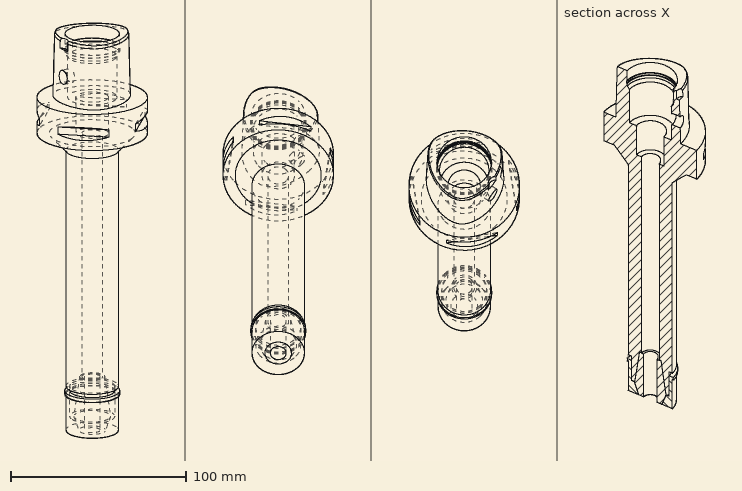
import cadquery as cq
import math

TOTAL_LENGTH = 238.0
FLANGE_TOP = 200.0
FLANGE_BOTTOM = 178.3
CONE_BOTTOM = 168.0
SHAFT_BOTTOM = 26.5
NUT_TOP = 23.8
COLLAR_BOTTOM = 21.7
NOSE_BOTTOM = 8.3
COLLET_TOP = 32.1

FLANGE_DIAMETER = 63.0
FLANGE_RADIUS = FLANGE_DIAMETER / 2
CONE_TOP_RADIUS = 24.5
SHAFT_RADIUS = 15.0
NOSE_RADIUS = 12.9
COLLAR_RADIUS = 15.7

SHANK_BASE_RADIUS = 22.1
SHANK_TAPER = 1 / 40
LOBE_HEIGHT = 1.5
LOBE_POINTS = 36
SHANK_CHAMFER_HEIGHT = 1.7
SHANK_CHAMFER_WIDTH = 0.6

MOUTH_RADIUS = 15.5
GROOVE_RADIUS = 16.0
BORE_RADIUS = 14.0
THREAD_RADIUS = 9.3
COOLANT_RADIUS = 6.0
GROOVE_TOP = TOTAL_LENGTH - 7.9
GROOVE_BOTTOM = TOTAL_LENGTH - 9.5
SEAT_TOP = TOTAL_LENGTH - 11.5
SEAT_BOTTOM = TOTAL_LENGTH - 13.3

NOTCH_RADIUS = 4.8
NOTCH_HEIGHT = 6.0
NOTCH_FLOOR = 17.8
LOCATING_RADIUS = 4.0
LOCATING_FLOOR = 15.0
LOCATING_Z = TOTAL_LENGTH - 22.4

SLOT_COUNT = 4
FIRST_SLOT_ANGLE = 45.0
SLOT_FLOOR = 27.8
SLOT_FLOOR_HEIGHT = 4.3
SLOT_Z = 188.0
SLOT_FLANK_ANGLE = 25.0

COLLET_BORE_RADIUS = 4.5
COLLET_BACK_RADIUS = 7.1
COLLET_FRONT_RADIUS = 7.5
COLLET_TAPER_ANGLE = 8.0
COLLET_FLARE = (COLLET_TOP - NOSE_BOTTOM) * math.tan(math.radians(COLLET_TAPER_ANGLE))
COLLET_SEAT_RADIUS = COLLET_BACK_RADIUS + COLLET_FLARE


def revolved(profile):
    """Solid of revolution about Z from a closed list of (radius, z) points."""
    return cq.Workplane("XZ").polyline(profile).close().revolve(360, (0, 0), (0, 1))


def cylinder(radius, bottom, top):
    return cq.Workplane("XY").workplane(offset=bottom).circle(radius).extrude(top - bottom)


def lobed_point(mean_radius, turn):
    """Point of a constant-width trilobe with one lobe on +Y; turn runs from 0 to 1, starting at -Y."""
    normal = 2 * math.pi * turn - math.pi / 2
    lobe_phase = 3 * (normal - math.pi / 2)
    reach = mean_radius + LOBE_HEIGHT * math.cos(lobe_phase)
    slide = -3 * LOBE_HEIGHT * math.sin(lobe_phase)
    return (
        reach * math.cos(normal) - slide * math.sin(normal),
        reach * math.sin(normal) + slide * math.cos(normal),
    )


def lobed_outline(mean_radius, height):
    """Closed trilobe wire at the given height."""
    outline = [lobed_point(mean_radius, step / LOBE_POINTS) for step in range(LOBE_POINTS)]
    return cq.Workplane("XY").workplane(offset=height).spline(outline, periodic=True, makeWire=True).val()


def lobed_frustum(bottom_radius, top_radius, bottom, top):
    """Trilobe tapering from one mean radius to another."""
    outlines = [lobed_outline(bottom_radius, bottom), lobed_outline(top_radius, top)]
    return cq.Workplane(cq.Solid.makeLoft(outlines, True))


def make_shank():
    chamfer_z = TOTAL_LENGTH - SHANK_CHAMFER_HEIGHT
    shoulder_radius = SHANK_BASE_RADIUS - SHANK_TAPER * (chamfer_z - FLANGE_TOP)
    end_radius = shoulder_radius - SHANK_CHAMFER_WIDTH
    taper = lobed_frustum(SHANK_BASE_RADIUS, shoulder_radius, FLANGE_TOP, chamfer_z)
    chamfer = lobed_frustum(shoulder_radius, end_radius, chamfer_z, TOTAL_LENGTH)
    return taper.union(chamfer)


def make_bore():
    return revolved([
        (0, TOTAL_LENGTH),
        (MOUTH_RADIUS, TOTAL_LENGTH),
        (MOUTH_RADIUS, GROOVE_TOP),
        (GROOVE_RADIUS, GROOVE_TOP),
        (GROOVE_RADIUS, GROOVE_BOTTOM),
        (MOUTH_RADIUS, GROOVE_BOTTOM),
        (MOUTH_RADIUS, SEAT_TOP),
        (BORE_RADIUS, SEAT_BOTTOM),
        (BORE_RADIUS, FLANGE_TOP),
        (THREAD_RADIUS, FLANGE_TOP),
        (THREAD_RADIUS, FLANGE_BOTTOM),
        (COOLANT_RADIUS, FLANGE_BOTTOM),
        (COOLANT_RADIUS, NOSE_BOTTOM),
        (0, NOSE_BOTTOM),
    ])


def make_gripper_slot(angle):
    """Straight slot with flared flanks, cut across the flange rim."""
    half_floor = SLOT_FLOOR_HEIGHT / 2
    depth = FLANGE_RADIUS - SLOT_FLOOR
    half_mouth = half_floor + depth * math.tan(math.radians(SLOT_FLANK_ANGLE))
    return (
        cq.Workplane("XZ")
        .polyline([
            (SLOT_FLOOR, SLOT_Z - half_floor),
            (FLANGE_RADIUS, SLOT_Z - half_mouth),
            (FLANGE_RADIUS, SLOT_Z + half_mouth),
            (SLOT_FLOOR, SLOT_Z + half_floor),
        ])
        .close()
        .extrude(FLANGE_RADIUS, both=True)
        .rotate((0, 0, 0), (0, 0, 1), angle)
    )


def make_notch():
    """Scallop with an upright axis, open at the shank end."""
    scallop = cylinder(NOTCH_RADIUS, TOTAL_LENGTH - NOTCH_HEIGHT, TOTAL_LENGTH)
    return scallop.translate((0, -NOTCH_FLOOR - NOTCH_RADIUS, 0))


def make_locating_hole():
    return (
        cq.Workplane("XZ", origin=(0, -LOCATING_FLOOR, LOCATING_Z))
        .circle(LOCATING_RADIUS)
        .extrude(FLANGE_RADIUS - LOCATING_FLOOR)
    )


def make_collet_envelope():
    """Double cone that fills the seats in the holder nose and the nut."""
    return revolved([
        (0, 0),
        (COLLET_FRONT_RADIUS, 0),
        (COLLET_SEAT_RADIUS, NOSE_BOTTOM),
        (COLLET_BACK_RADIUS, COLLET_TOP),
        (0, COLLET_TOP),
    ])


def make_holder():
    turned = revolved([
        (0, FLANGE_TOP),
        (FLANGE_RADIUS, FLANGE_TOP),
        (FLANGE_RADIUS, FLANGE_BOTTOM),
        (CONE_TOP_RADIUS, FLANGE_BOTTOM),
        (SHAFT_RADIUS, CONE_BOTTOM),
        (SHAFT_RADIUS, SHAFT_BOTTOM),
        (NOSE_RADIUS, SHAFT_BOTTOM),
        (NOSE_RADIUS, NOSE_BOTTOM),
        (0, NOSE_BOTTOM),
    ])
    holder = turned.union(make_shank()).cut(make_bore()).cut(make_collet_envelope())
    for slot in range(SLOT_COUNT):
        holder = holder.cut(make_gripper_slot(FIRST_SLOT_ANGLE + slot * 360 / SLOT_COUNT))
    return holder.cut(make_notch()).cut(make_locating_hole())


def make_nut():
    body = cylinder(SHAFT_RADIUS, 0, NUT_TOP)
    collar = cylinder(COLLAR_RADIUS, COLLAR_BOTTOM, NUT_TOP)
    nose_socket = cylinder(NOSE_RADIUS, NOSE_BOTTOM, NUT_TOP)
    return body.union(collar).cut(nose_socket).cut(make_collet_envelope())


def make_collet():
    return make_collet_envelope().cut(cylinder(COLLET_BORE_RADIUS, 0, COLLET_TOP))


holder = make_holder()
nut = make_nut()
collet = make_collet()

result = cq.Compound.makeCompound([holder.val(), nut.val(), collet.val()])